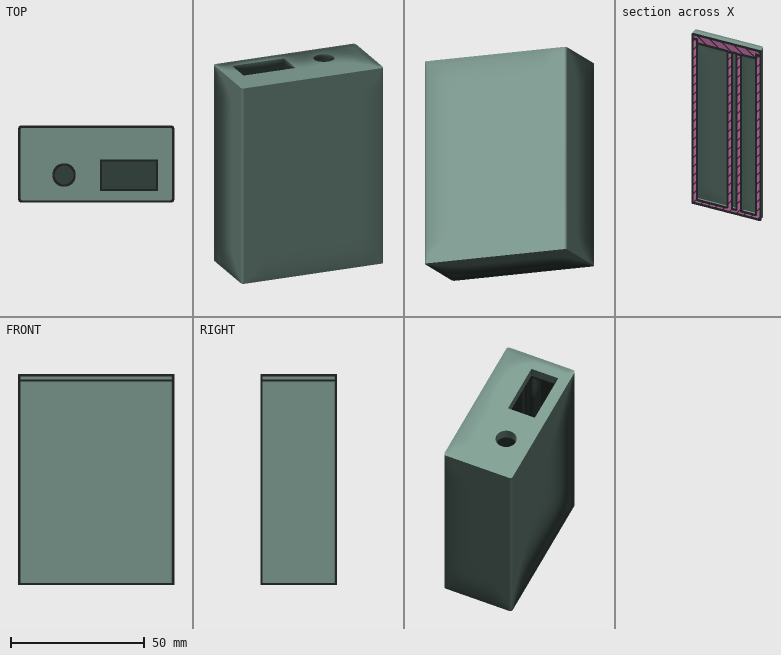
import cadquery as cq

length = 57.5
width = 28.0
height = 78.0
corner_radius = 1.0
wall = 2.0

plate_thickness = wall
lid_thickness = 4.0

button_diameter = 7.9
button_x = -12.0
opening_y = -4.1
socket_length = 21.0
socket_width = 11.0
socket_x = 12.25

rib_height = 2.0
rib_tip_width = 1.0
board_slot_width = 1.65
board_y = 3.2

cavity_length = length - 2 * wall
cavity_width = width - 2 * wall
bottom_z = -height / 2
top_z = height / 2
floor_z = bottom_z + wall
rim_z = top_z - plate_thickness
plug_bottom_z = top_z - lid_thickness


def upright_box(size_x, size_y, z_low, z_high):
    """Box centred on the Z axis between two levels."""
    base = cq.Workplane("XY").workplane(offset=z_low)
    return base.rect(size_x, size_y).extrude(z_high - z_low)


def rounded_box(z_low, z_high):
    """Slice of the outer box with its upright edges rounded."""
    return upright_box(length, width, z_low, z_high).edges("|Z").fillet(corner_radius)


def guide_rib(end, side):
    """Rib on the +X or -X end wall (end), above or below the board slot in Y (side).

    The face along the slot is square to the wall, and the other face slopes at 45 degrees.
    """
    wall_x = end * cavity_length / 2
    tip_x = wall_x - end * rib_height
    slot_y = board_y + side * board_slot_width / 2
    tip_y = slot_y + side * rib_tip_width
    foot_y = tip_y + side * rib_height
    root_x = wall_x + end * wall / 2
    outline = [
        (root_x, slot_y),
        (tip_x, slot_y),
        (tip_x, tip_y),
        (wall_x, foot_y),
        (root_x, foot_y),
    ]
    base = cq.Workplane("XY").workplane(offset=floor_z)
    return base.polyline(outline).close().extrude(plug_bottom_z - floor_z)


def make_housing():
    """Open-topped box with board guides that end under the lid plug."""
    body = rounded_box(bottom_z, rim_z)
    body = body.cut(upright_box(cavity_length, cavity_width, floor_z, rim_z))
    for end in (-1, 1):
        for side in (-1, 1):
            body = body.union(guide_rib(end, side))
    return body


def make_lid():
    """Cover plate and plug, with a round button hole and a rectangular socket opening."""
    body = rounded_box(rim_z, top_z)
    body = body.union(upright_box(cavity_length, cavity_width, plug_bottom_z, rim_z))
    under = cq.Workplane("XY").workplane(offset=plug_bottom_z)
    button_hole = under.center(button_x, opening_y).circle(button_diameter / 2).extrude(lid_thickness)
    socket_opening = under.center(socket_x, opening_y).rect(socket_length, socket_width).extrude(lid_thickness)
    return body.cut(button_hole).cut(socket_opening)


housing = make_housing()
lid = make_lid()
result = cq.Compound.makeCompound([housing.val(), lid.val()])